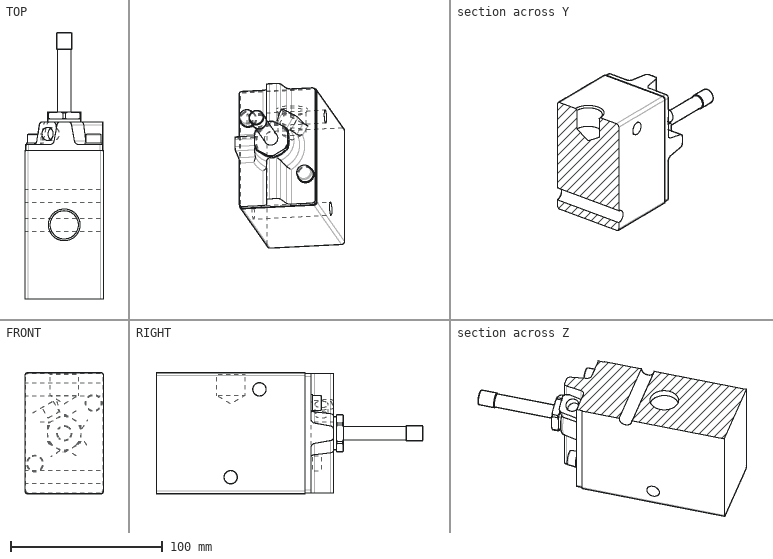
import cadquery as cq
import math

BODY_WIDTH = 52.0
BODY_LENGTH = 98.0
BODY_HEIGHT = 80.0
CORNER_RADIUS = 2.0

PORT_Y = BODY_LENGTH / 2
PORT_DIAMETER = 18.63
PORT_MOUTH_DIAMETER = 20.95
PORT_DEPTH = 15.0
DRILL_POINT_ANGLE = 118.0

MOUNT_HOLE_DIAMETER = 8.6
MOUNT_HOLE_PLACES = [(68.0, 29.0), (49.0, -29.0)]

COVER_INSET = 0.5
COVER_WIDTH = BODY_WIDTH - 2 * COVER_INSET
COVER_HEIGHT = BODY_HEIGHT - 2 * COVER_INSET
COVER_THICKNESS = 4.0
COVER_Y = BODY_LENGTH + COVER_THICKNESS
RELIEF_HEIGHT = 15.0
RELIEF_Y = COVER_Y + RELIEF_HEIGHT
DRAFT = math.radians(10.0)
CREST_RADIUS = 2.5
ROOT_RADIUS = 3.0
RIB_CREST_HALF_WIDTH = 4.45
HUB_CREST_RADIUS = 13.4

EAR_ANGLE = 30.0
EAR_REACH = 22.0
EAR_CREST_HALF_WIDTH = 6.0
PILOT_DIAMETER = 8.6
PILOT_DEPTH = 8.0
PILOT_HEIGHT = 7.0

SCREW_PLACES = [(-19.3, -20.0), (19.3, 20.0)]
SCREW_HEAD_DIAMETER = 10.0
SCREW_HEAD_HEIGHT = 6.8
SCREW_SEAT_DIAMETER = 11.0
SCREW_SEAT_HEIGHT = 0.9
SCREW_EDGE_RADIUS = 0.6

COLLAR_DIAMETER = 22.0
COLLAR_HEIGHT = 1.7
HEX_ACROSS_FLATS = 22.0
HEX_TRIM_DIAMETER = 24.6
HEX_HEIGHT = 4.7
HEX_CHAMFER = 0.6
TUBE_DIAMETER = 9.0
CAP_DIAMETER = 10.0
CAP_LENGTH = 11.4
CAP_CHAMFER = 0.5
STEM_END_Y = 176.0


def cylinder_along_y(diameter, start_y, length, x=0.0, z=0.0):
    start = cq.Vector(x, start_y, z)
    return cq.Workplane(cq.Solid.makeCylinder(diameter / 2, length, start, cq.Vector(0, 1, 0)))


def block_along_y(width, height, start_y, length):
    block = cq.Workplane("XY").box(width, length, height, centered=(True, False, True))
    return block.edges("|Y").fillet(CORNER_RADIUS).translate((0, start_y, 0))


def drafted_flank(crest_half_width):
    """Points down one rounded, drafted flank, from crest to root, as (half width, y)."""
    root_half_width = crest_half_width + RELIEF_HEIGHT * math.tan(DRAFT)
    arc_half_angle = (math.pi / 2 - DRAFT) / 2
    crest_x = crest_half_width - CREST_RADIUS * math.tan(arc_half_angle)
    crest_y = RELIEF_Y - CREST_RADIUS
    root_x = root_half_width + ROOT_RADIUS * math.tan(arc_half_angle)
    root_y = COVER_Y + ROOT_RADIUS

    def crest_point(angle):
        return (crest_x + CREST_RADIUS * math.sin(angle), crest_y + CREST_RADIUS * math.cos(angle))

    def root_point(angle):
        return (root_x - ROOT_RADIUS * math.sin(angle), root_y - ROOT_RADIUS * math.cos(angle))

    crest = [crest_point(step * arc_half_angle) for step in range(3)]
    root = [root_point(step * arc_half_angle) for step in (2, 1, 0)]
    return crest + root


def trace_flank(sketch, flank):
    """Continue a sketch from the crest end of a flank to its root end."""
    return sketch.threePointArc(flank[1], flank[2]).lineTo(*flank[3]).threePointArc(flank[4], flank[5])


def rib(crest_half_width, length):
    """Rib from the Y axis out along +Z, resting on the cover."""
    flank = drafted_flank(crest_half_width)
    half = trace_flank(cq.Workplane("XY").moveTo(0, RELIEF_Y).lineTo(*flank[0]), flank)
    half = half.lineTo(flank[-1][0], BODY_LENGTH).lineTo(0, BODY_LENGTH).close().extrude(length)
    return half.union(half.mirror("YZ"))


def turned_to(shape, angle):
    """Turn a shape that points along +Z towards -X about the Y axis."""
    return shape.rotate((0, 0, 0), (0, 1, 0), -angle)


def make_body():
    body = block_along_y(BODY_WIDTH, BODY_HEIGHT, 0, BODY_LENGTH)
    for y, z in MOUNT_HOLE_PLACES:
        hole = cq.Workplane("YZ").center(y, z).circle(MOUNT_HOLE_DIAMETER / 2)
        body = body.cut(hole.extrude(BODY_WIDTH, both=True))
    return body.cut(make_port())


def make_port():
    top = BODY_HEIGHT / 2
    radius = PORT_DIAMETER / 2
    mouth_radius = PORT_MOUTH_DIAMETER / 2
    floor = top - PORT_DEPTH
    cone_tip = floor - radius / math.tan(math.radians(DRILL_POINT_ANGLE / 2))
    outline = [
        (0, top),
        (mouth_radius, top),
        (radius, top - (mouth_radius - radius)),
        (radius, floor),
        (0, cone_tip),
    ]
    port = cq.Workplane("XZ").polyline(outline).close().revolve(360, (0, 0, 0), (0, 1, 0))
    return port.translate((0, PORT_Y, 0))


def make_hub():
    flank = drafted_flank(HUB_CREST_RADIUS)
    outline = trace_flank(cq.Workplane("XY").moveTo(0, RELIEF_Y).lineTo(*flank[0]), flank)
    outline = outline.lineTo(flank[-1][0], BODY_LENGTH).lineTo(0, BODY_LENGTH).close()
    return outline.revolve(360, (0, 0, 0), (0, 1, 0))


def make_ear():
    ear = rib(EAR_CREST_HALF_WIDTH, EAR_REACH)
    return turned_to(ear, EAR_ANGLE)


def make_pilot_hole():
    hole = cq.Workplane("XY", origin=(0, COVER_Y + PILOT_HEIGHT, EAR_REACH - PILOT_DEPTH))
    return turned_to(hole.circle(PILOT_DIAMETER / 2).extrude(PILOT_DEPTH), EAR_ANGLE)


def make_cover():
    cover = block_along_y(COVER_WIDTH, COVER_HEIGHT, BODY_LENGTH, COVER_THICKNESS)
    cover = cover.union(make_hub())
    upright_rib = rib(RIB_CREST_HALF_WIDTH, COVER_HEIGHT / 2)
    side_rib = rib(RIB_CREST_HALF_WIDTH, COVER_WIDTH / 2)
    cover = cover.union(upright_rib).union(turned_to(upright_rib, 180)).union(turned_to(side_rib, -90))
    return cover.union(make_ear()).cut(make_pilot_hole())


def make_screw(x, z):
    head = cylinder_along_y(SCREW_HEAD_DIAMETER, COVER_Y, SCREW_HEAD_HEIGHT, x, z)
    head = head.faces(">Y").edges().fillet(SCREW_EDGE_RADIUS)
    return head.union(cylinder_along_y(SCREW_SEAT_DIAMETER, COVER_Y, SCREW_SEAT_HEIGHT, x, z))


def make_hexagon(start_y):
    across_corners = HEX_ACROSS_FLATS / math.cos(math.pi / 6)
    hexagon = cq.Workplane("XZ").transformed(rotate=(0, 0, 90)).polygon(6, across_corners)
    hexagon = hexagon.extrude(-HEX_HEIGHT).translate((0, start_y, 0))
    trim = cylinder_along_y(HEX_TRIM_DIAMETER, start_y, HEX_HEIGHT).edges().chamfer(HEX_CHAMFER)
    return hexagon.intersect(trim)


def make_stem():
    hex_y = RELIEF_Y + COLLAR_HEIGHT
    cap_y = STEM_END_Y - CAP_LENGTH
    cap = cylinder_along_y(CAP_DIAMETER, cap_y, CAP_LENGTH).edges().chamfer(CAP_CHAMFER)
    stem = cylinder_along_y(COLLAR_DIAMETER, RELIEF_Y, COLLAR_HEIGHT)
    stem = stem.union(make_hexagon(hex_y))
    stem = stem.union(cylinder_along_y(TUBE_DIAMETER, RELIEF_Y, cap_y - RELIEF_Y))
    return stem.union(cap)


result = make_body().union(make_cover()).union(make_stem())
for screw_x, screw_z in SCREW_PLACES:
    result = result.union(make_screw(screw_x, screw_z))